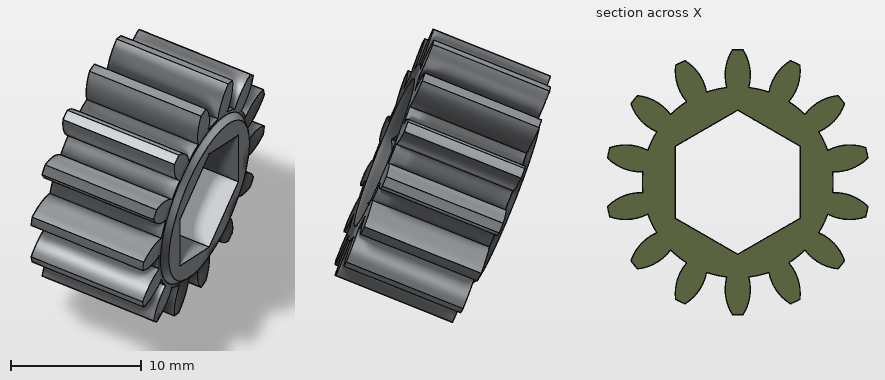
import cadquery as cq
import math

tip_radius = 10.15
total_length = 10.15
collar_height = 0.49
toothed_length = total_length - collar_height

tooth_count = 14
root_radius = 7.32
tip_half_width = 0.4
belly_half_width = 0.98
belly_radius = 8.23
root_half_width = 0.85

collar_base_radius = 7.07
collar_end_radius = 6.6

hex_across_flats = 9.55
hex_across_corners = hex_across_flats / math.cos(math.pi / 6)
countersink_radius = 6.1
countersink_angle = math.radians(45.0)


def on_circle(radius, half_width):
    """Distance from the axis, along a tooth centre line, of a point on a circle."""
    return math.sqrt(radius**2 - half_width**2)


def tooth():
    """One tooth pointing along +Z, with its foot sunk into the gear body."""
    tip_height = on_circle(tip_radius, tip_half_width)
    root_height = on_circle(root_radius, root_half_width)
    foot_height = (root_radius + countersink_radius) / 2
    return (
        cq.Workplane("YZ")
        .moveTo(-root_half_width, foot_height)
        .lineTo(-root_half_width, root_height)
        .threePointArc((-belly_half_width, belly_radius), (-tip_half_width, tip_height))
        .threePointArc((0, tip_radius), (tip_half_width, tip_height))
        .threePointArc((belly_half_width, belly_radius), (root_half_width, root_height))
        .lineTo(root_half_width, foot_height)
        .close()
        .extrude(toothed_length)
    )


def toothed_body():
    body = cq.Workplane("YZ").circle(root_radius).extrude(toothed_length)
    pitch_angle = 360.0 / tooth_count
    for index in range(tooth_count):
        body = body.union(tooth().rotate((0, 0, 0), (1, 0, 0), index * pitch_angle))
    return body


def collar():
    return (
        cq.Workplane("XY")
        .moveTo(toothed_length, 0)
        .lineTo(toothed_length, collar_base_radius)
        .lineTo(total_length, collar_end_radius)
        .lineTo(total_length, 0)
        .close()
        .revolve(360, (0, 0, 0), (1, 0, 0))
    )


def hex_bore():
    """Hexagonal hole with two corners on the Z axis."""
    return (
        cq.Workplane("YZ")
        .transformed(rotate=(0, 0, 90))
        .polygon(6, hex_across_corners)
        .extrude(total_length)
    )


def countersink():
    """Full cone whose flank meets the hexagon in scalloped edges."""
    cone_depth = countersink_radius / math.tan(countersink_angle)
    return (
        cq.Workplane("XY")
        .lineTo(0, countersink_radius)
        .lineTo(cone_depth, 0)
        .close()
        .revolve(360, (0, 0, 0), (1, 0, 0))
    )


result = toothed_body().union(collar()).cut(hex_bore()).cut(countersink())